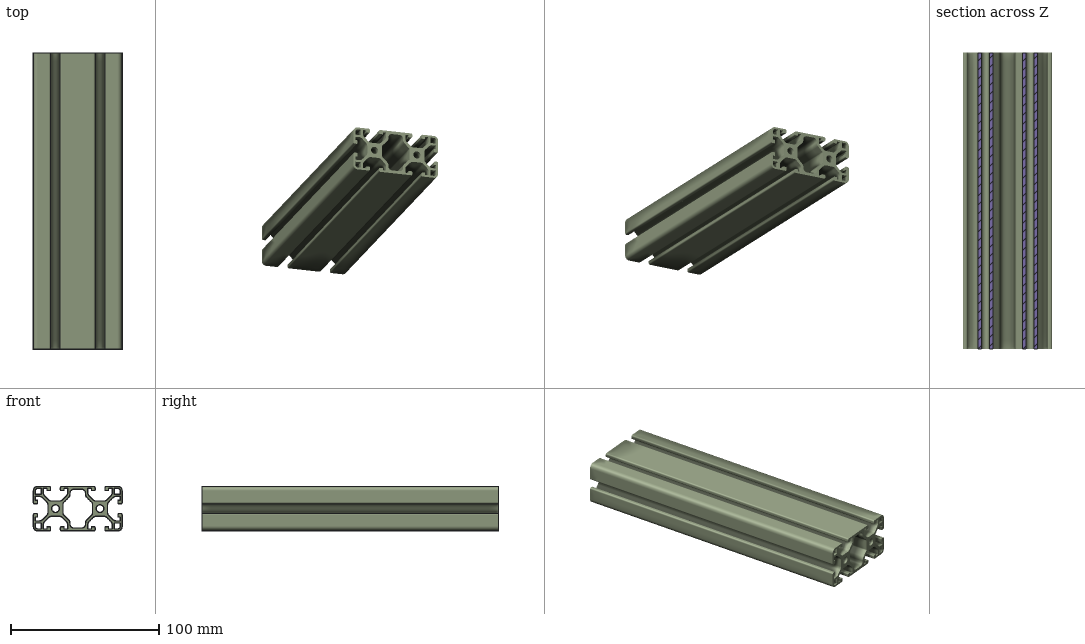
import cadquery as cq

cell = 30.0
width = 2 * cell
length = 200.0
half_cell = cell / 2
outer_radius = 3.0

lip_half_gap = 3.2
lip_outer_radius = 1.0
lip_inner_radius = 0.8
step_half_width = 5.8
flange = 1.5
hook_height = 1.5
lip_depth = flange + hook_height
pocket_half_width = 8.2
pocket_radius = 3.0
floor_radius = 2.8

core_half = 5.2
web_offset = 1.5
bore_diameter = 5.0

pocket_wall = 1.5
hollow_inner = pocket_half_width + pocket_wall
hollow_radius = outer_radius - flange

cavity_half_height = 13.0
cavity_half_width = 5.2
cavity_web_offset = 1.5
cavity_top_radius = 2.5
cavity_bend_radius = 3.5
cavity_core_radius = 1.0


def prism(outline):
    """Closed XZ outline extruded over the full length, centred on Y = 0."""
    return outline.extrude(length / 2, both=True)


def edges_at(body, points, radius):
    """Round the lengthwise edges that pass through the given XZ points."""
    for x, z in points:
        body = body.edges(cq.selectors.NearestToPointSelector((x, 0, z))).fillet(radius)
    return body


def slot_cutter():
    """Slot in the upper face of a cell, flaring above the face to round the lip edges."""
    pocket_top = half_cell - flange
    lip_bottom = half_cell - lip_depth
    floor_half = core_half - web_offset
    mouth_half = lip_half_gap + 2 * lip_outer_radius
    shoulder = pocket_half_width + web_offset
    right_side = [
        (floor_half, core_half),
        (pocket_half_width, shoulder),
        (pocket_half_width, pocket_top),
        (step_half_width, pocket_top),
        (step_half_width, lip_bottom),
        (lip_half_gap, lip_bottom),
        (lip_half_gap, half_cell),
        (mouth_half, half_cell),
        (mouth_half, half_cell + lip_outer_radius),
    ]
    left_side = [(-x, z) for x, z in reversed(right_side)]
    slot = prism(cq.Workplane("XZ").polyline(right_side + left_side).close())
    for side in (-1, 1):
        slot = edges_at(slot, [(side * floor_half, core_half)], floor_radius)
        slot = edges_at(slot, [(side * pocket_half_width, shoulder)], pocket_radius)
        slot = edges_at(slot, [(side * lip_half_gap, lip_bottom)], lip_inner_radius)
        slot = edges_at(slot, [(side * lip_half_gap, half_cell)], lip_outer_radius)
    return slot


def hollow_cutter():
    """Hollow in the upper right corner of a cell centred on the origin."""
    outer = half_cell - flange
    size = outer - hollow_inner
    middle = (outer + hollow_inner) / 2
    hollow = prism(cq.Workplane("XZ").center(middle, middle).rect(size, size))
    return edges_at(hollow, [(outer, outer)], hollow_radius)


def cavity_cutter():
    """Eight-sided cavity in the middle of the profile."""
    core_side = half_cell - core_half
    core_corner = core_half - cavity_web_offset
    bend = half_cell - cavity_half_width - cavity_web_offset
    quarter = [
        (core_side, core_corner),
        (cavity_half_width, bend),
        (cavity_half_width, cavity_half_height),
    ]
    upper = quarter + [(-x, z) for x, z in reversed(quarter)]
    lower = [(x, -z) for x, z in reversed(upper)]
    cavity = prism(cq.Workplane("XZ").polyline(upper + lower).close())
    radii = (cavity_core_radius, cavity_bend_radius, cavity_top_radius)
    for (x, z), radius in zip(quarter, radii):
        corners = [(sx * x, sz * z) for sx in (-1, 1) for sz in (-1, 1)]
        cavity = edges_at(cavity, corners, radius)
    return cavity


def turned(body, angle):
    """Turn a body about the Y axis."""
    return body.rotate((0, 0, 0), (0, 1, 0), angle)


def right_cell_cutters():
    """Slots, corner hollows and bore of the right-hand cell."""
    slot = slot_cutter()
    hollow = hollow_cutter()
    bore = prism(cq.Workplane("XZ").circle(bore_diameter / 2))
    cutters = [turned(slot, angle) for angle in (0, 90, 180)]
    cutters += [turned(hollow, angle) for angle in (0, 90)]
    cutters.append(bore)
    return [cutter.translate((half_cell, 0, 0)) for cutter in cutters]


result = cq.Workplane("XY").box(width, length, cell).edges("|Y").fillet(outer_radius)
for cutter in right_cell_cutters():
    result = result.cut(cutter).cut(turned(cutter, 180))
result = result.cut(cavity_cutter())